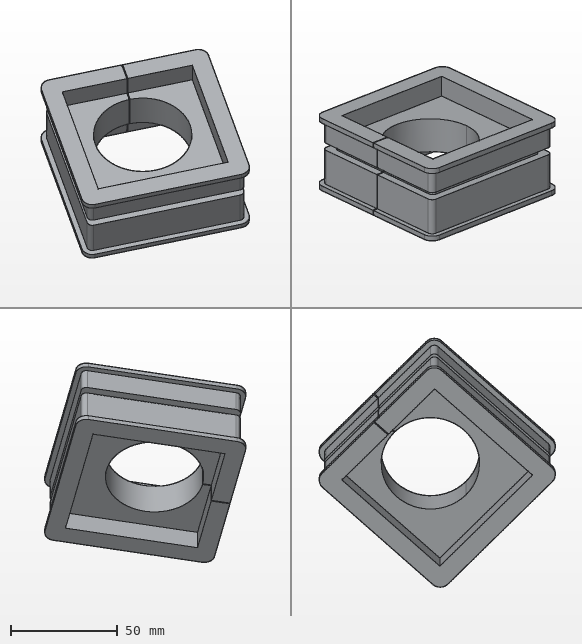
import cadquery as cq

flange_side = 81.0
height = 37.5

flange_thickness = 2.5
flange_overhang = 2.5
flange_corner_radius = 5.0
body_corner_radius = 2.5
body_side = flange_side - 2 * flange_overhang
groove_depth = 4.0
groove_side = body_side - 2 * groove_depth
groove_bottom = 20.2
groove_height = 3.65

pocket_side = 63.0
pocket_depth = 10.2

bore_diameter = 45.9
bore_x = -4.45
slit_width = 0.5


def rounded_square(side, corner_radius, bottom, top):
    """Square slab centred on the Z axis, with rounded vertical edges."""
    slab = cq.Workplane("XY").workplane(offset=bottom).rect(side, side).extrude(top - bottom)
    return slab.edges("|Z").fillet(corner_radius)


def outer_block():
    """Two flanges and two body bands joined by the narrower groove core."""
    groove_top = groove_bottom + groove_height
    block = rounded_square(groove_side, body_corner_radius, 0, height)
    for bottom, top in [(0, groove_bottom), (groove_top, height)]:
        block = block.union(rounded_square(body_side, body_corner_radius, bottom, top))
    for bottom in [0, height - flange_thickness]:
        top = bottom + flange_thickness
        block = block.union(rounded_square(flange_side, flange_corner_radius, bottom, top))
    return block


def pocket(bottom):
    """Square recess volume starting at the given height."""
    floor = cq.Workplane("XY").workplane(offset=bottom)
    return floor.rect(pocket_side, pocket_side).extrude(pocket_depth)


def bore():
    return cq.Workplane("XY").center(bore_x, 0).circle(bore_diameter / 2).extrude(height)


def slit():
    """Full-height cut from the -X side to the bore centre."""
    length = flange_side / 2 + bore_x
    return (
        cq.Workplane("XY")
        .center(bore_x - length / 2, 0)
        .rect(length, slit_width)
        .extrude(height)
    )


result = outer_block().cut(bore()).cut(slit())
for pocket_bottom in [0, height - pocket_depth]:
    result = result.cut(pocket(pocket_bottom))